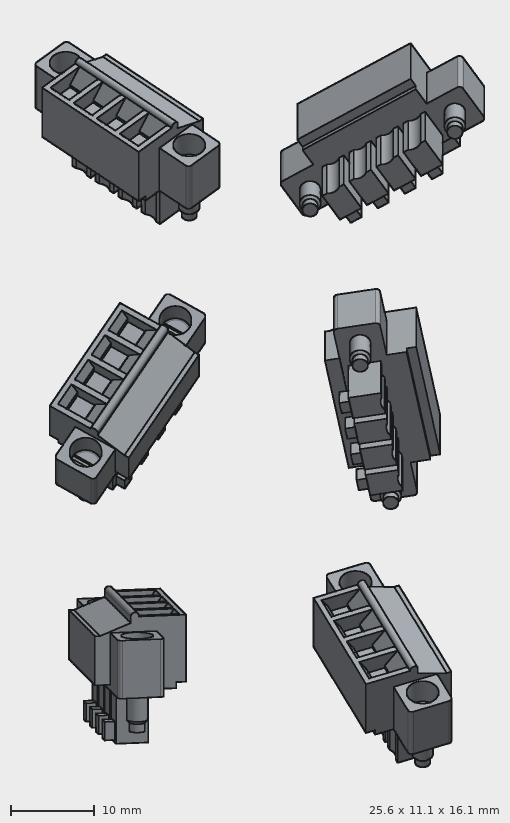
import cadquery as cq


OVERALL_LENGTH = 25.63
OVERALL_HEIGHT = 16.1

BODY_LENGTH = 16.0
BODY_FRONT_Y = -6.4
BODY_BACK_Y = 4.7
BODY_TOP_Z = 15.55
BODY_BOTTOM_Z = 7.38
BASE_Z = 6.65
BASE_FRONT_Y = -5.23
BACK_SHELF_Z = 13.38
BACK_SHELF_WIDTH = 0.62
SLOPE_TOP_Z = 14.81

RIDGE_RADIUS = 0.5
RIDGE_CENTRE_Y = -0.18
RIDGE_CENTRE_Z = OVERALL_HEIGHT - RIDGE_RADIUS
RIDGE_FRONT_Y = RIDGE_CENTRE_Y - RIDGE_RADIUS
RIDGE_BACK_Y = RIDGE_CENTRE_Y + RIDGE_RADIUS

FLANGE_WIDTH = 5.65
FLANGE_TOP_Z = 13.7
FLANGE_CORNER_RADIUS = 0.5

POLE_COUNT = 4
POLE_PITCH = 3.82
POLE_WIDTH = 3.05
POLE_XS = [(i - (POLE_COUNT - 1) / 2) * POLE_PITCH for i in range(POLE_COUNT)]

POCKET_BACK_Y = RIDGE_FRONT_Y
POCKET_FRONT_Y = -5.7
POCKET_FLOOR_BACK_Y = -2.35
POCKET_FLOOR_FRONT_Y = -4.85
POCKET_FLOOR_Z = 13.3
BACK_SLOPE_DEPTH = 1.9
FRONT_SLOPE_DEPTH = 1.3

SLEEVE_DEPTH = 3.95
SLEEVE_FRONT_Y = -SLEEVE_DEPTH / 2
SLEEVE_BACK_Y = SLEEVE_DEPTH / 2
GROOVE_WIDTH = 1.77
GROOVE_DEPTH = 0.28
CATCH_WIDTH = 1.55
CATCH_REACH = 1.23
CATCH_BOTTOM_Z = 0.3
CATCH_TOP_Z = 2.56

SCREW_SPACING = 20.43
SCREW_XS = [-SCREW_SPACING / 2, SCREW_SPACING / 2]
HEAD_RADIUS = 1.92
HEAD_BOTTOM_Z = 9.23
HEAD_HEIGHT = 1.28
HEAD_EDGE_RADIUS = 0.3
SLOT_WIDTH = 0.62
SLOT_DEPTH = 0.5
SHANK_RADIUS = 1.25
SHANK_BOTTOM_Z = 3.45
TIP_RADIUS = 0.92
TIP_TOP_Z = 3.1
TIP_BOTTOM_Z = 2.08


def make_body():
    """Main block: the side outline carried along the row."""
    return (
        cq.Workplane("YZ")
        .moveTo(BODY_FRONT_Y, BODY_BOTTOM_Z)
        .lineTo(BODY_FRONT_Y, BODY_TOP_Z)
        .lineTo(RIDGE_FRONT_Y, BODY_TOP_Z)
        .lineTo(RIDGE_FRONT_Y, RIDGE_CENTRE_Z)
        .threePointArc((RIDGE_CENTRE_Y, OVERALL_HEIGHT), (RIDGE_BACK_Y, RIDGE_CENTRE_Z))
        .lineTo(RIDGE_BACK_Y, SLOPE_TOP_Z)
        .lineTo(BODY_BACK_Y - BACK_SHELF_WIDTH, BACK_SHELF_Z)
        .lineTo(BODY_BACK_Y, BACK_SHELF_Z)
        .lineTo(BODY_BACK_Y, BODY_BOTTOM_Z)
        .lineTo(FLANGE_WIDTH / 2, BODY_BOTTOM_Z)
        .lineTo(FLANGE_WIDTH / 2, BASE_Z)
        .lineTo(BASE_FRONT_Y, BASE_Z)
        .lineTo(BASE_FRONT_Y, BODY_BOTTOM_Z)
        .close()
        .extrude(BODY_LENGTH / 2, both=True)
    )


def make_flanges():
    """Both screw flanges, as one bar that runs through the block."""
    return (
        cq.Workplane("XY", origin=(0, 0, BASE_Z))
        .rect(OVERALL_LENGTH, FLANGE_WIDTH)
        .extrude(FLANGE_TOP_Z - BASE_Z)
        .edges("|Z")
        .fillet(FLANGE_CORNER_RADIUS)
    )


def make_sleeve(x):
    """Contact sleeve of the pole at x."""
    sleeve = (
        cq.Workplane("XY", origin=(x, 0, 0))
        .moveTo(-POLE_WIDTH / 2, SLEEVE_BACK_Y)
        .lineTo(-POLE_WIDTH / 2, SLEEVE_FRONT_Y)
        .lineTo(-GROOVE_WIDTH / 2, SLEEVE_FRONT_Y)
        .threePointArc((0, SLEEVE_FRONT_Y + GROOVE_DEPTH), (GROOVE_WIDTH / 2, SLEEVE_FRONT_Y))
        .lineTo(POLE_WIDTH / 2, SLEEVE_FRONT_Y)
        .lineTo(POLE_WIDTH / 2, SLEEVE_BACK_Y)
        .close()
        .extrude(BASE_Z)
    )
    catch = cq.Workplane("XY", origin=(x, SLEEVE_BACK_Y + CATCH_REACH / 2, CATCH_BOTTOM_Z)).box(
        CATCH_WIDTH, CATCH_REACH, CATCH_TOP_Z - CATCH_BOTTOM_Z, centered=(True, True, False)
    )
    return sleeve.union(catch)


def make_pocket(x):
    """Space of the wire pocket of the pole at x."""
    return (
        cq.Workplane("YZ", origin=(x, 0, 0))
        .moveTo(POCKET_BACK_Y, BODY_TOP_Z)
        .lineTo(POCKET_FLOOR_BACK_Y, BODY_TOP_Z - BACK_SLOPE_DEPTH)
        .lineTo(POCKET_FLOOR_BACK_Y, POCKET_FLOOR_Z)
        .lineTo(POCKET_FLOOR_FRONT_Y, POCKET_FLOOR_Z)
        .lineTo(POCKET_FLOOR_FRONT_Y, BODY_TOP_Z - FRONT_SLOPE_DEPTH)
        .lineTo(POCKET_FRONT_Y, BODY_TOP_Z)
        .close()
        .extrude(POLE_WIDTH / 2, both=True)
    )


def make_screw_hole(x):
    """Stepped hole for the screw at x, open above its head."""
    shank_hole = (
        cq.Workplane("XY", origin=(x, 0, BASE_Z))
        .circle(SHANK_RADIUS)
        .extrude(HEAD_BOTTOM_Z - BASE_Z)
    )
    head_hole = (
        cq.Workplane("XY", origin=(x, 0, HEAD_BOTTOM_Z))
        .circle(HEAD_RADIUS)
        .extrude(FLANGE_TOP_Z - HEAD_BOTTOM_Z)
    )
    return shank_hole.union(head_hole)


def make_housing():
    """Housing with its flanges, sleeves, wire pockets and screw holes."""
    housing = make_body().union(make_flanges())
    for x in POLE_XS:
        housing = housing.union(make_sleeve(x)).cut(make_pocket(x))
    for x in SCREW_XS:
        housing = housing.cut(make_screw_hole(x))
    return housing


def make_screw(x):
    """Slotted screw at x: rounded head, shank and stepped tip, turned about its own axis."""
    head_top_z = HEAD_BOTTOM_Z + HEAD_HEIGHT
    screw = (
        cq.Workplane("XZ")
        .moveTo(0, TIP_BOTTOM_Z)
        .lineTo(TIP_RADIUS, TIP_BOTTOM_Z)
        .lineTo(TIP_RADIUS, TIP_TOP_Z)
        .lineTo(SHANK_RADIUS, SHANK_BOTTOM_Z)
        .lineTo(SHANK_RADIUS, HEAD_BOTTOM_Z)
        .lineTo(HEAD_RADIUS, HEAD_BOTTOM_Z)
        .lineTo(HEAD_RADIUS, head_top_z - HEAD_EDGE_RADIUS)
        .radiusArc((HEAD_RADIUS - HEAD_EDGE_RADIUS, head_top_z), -HEAD_EDGE_RADIUS)
        .lineTo(0, head_top_z)
        .close()
        .revolve(360, (0, 0, 0), (0, 1, 0))
    )
    slot = cq.Workplane("XY", origin=(0, 0, head_top_z - SLOT_DEPTH)).box(
        SLOT_WIDTH, 2 * HEAD_RADIUS, SLOT_DEPTH, centered=(True, True, False)
    )
    return screw.cut(slot).translate((x, 0, 0))


housing = make_housing()
screws = [make_screw(x) for x in SCREW_XS]

result = cq.Compound.makeCompound([housing.val(), *[screw.val() for screw in screws]])